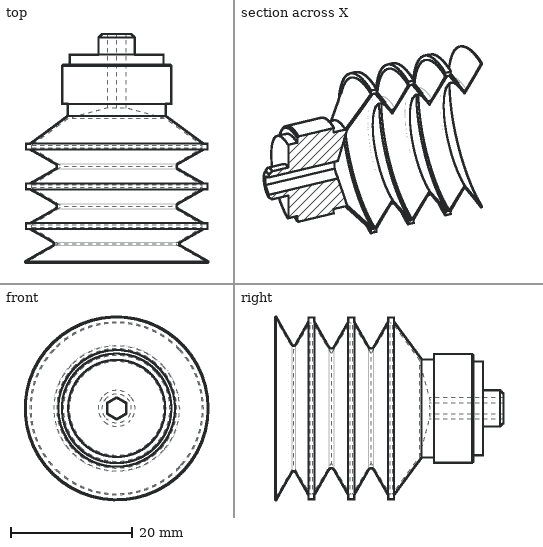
import cadquery as cq
import math


LIP_INNER_RADIUS = 15.0
LIP_EDGE_STEP = 0.145
LIP_EDGE_DEPTH = 0.2

FOLD_COUNT = 3
FOLD_PITCH = 6.56
FIRST_FOLD_Y = 6.03
RIM_RADIUS = 15.0
RIM_WIDTH = 1.0
FLANK_TOP_RADIUS = 14.28
FLANK_SLOPE = math.tan(math.radians(29.6))
LIP_VALLEY_FILLET = 0.3
VALLEY_FILLET = 0.48

LIP_THROAT_RADIUS = 9.62
THROAT_RADIUS = 9.03
INNER_CREST_RADIUS = 14.1
INNER_CREST_WIDTH = 0.4
FLOOR_RADIUS = 8.0
FLOOR_RIM_Y = 23.8
FLOOR_ANGLE = 15.0

NECK_RADIUS = 8.1
NECK_START_Y = 24.2
COLLAR_RADIUS = 9.0
COLLAR_START_Y = 26.2
COLLAR_END_Y = 32.7
COLLAR_CHAMFER = 0.25
STEP_RADIUS = 7.75
STEP_END_Y = 34.3
PIN_RADIUS = 3.0
PIN_CHAMFER = 0.6
TOTAL_LENGTH = 37.7

HEX_SIDES = 6
HEX_ACROSS_FLATS = 3.08

LIP_OUTER_RADIUS = LIP_INNER_RADIUS + LIP_EDGE_STEP
fold_centres = [FIRST_FOLD_Y + i * FOLD_PITCH for i in range(FOLD_COUNT)]


def lip_valley_apex():
    """Point where the flank behind the lip meets the flank of the first fold."""
    flank_end_y = FIRST_FOLD_Y - RIM_WIDTH / 2
    radial_difference = LIP_OUTER_RADIUS - FLANK_TOP_RADIUS
    y = (LIP_EDGE_DEPTH + flank_end_y + FLANK_SLOPE * radial_difference) / 2
    return LIP_OUTER_RADIUS - (y - LIP_EDGE_DEPTH) / FLANK_SLOPE, y


def fold_valley_apex(fold_y):
    """Point where the flanks meet midway between a fold and the next one."""
    half_gap = (FOLD_PITCH - RIM_WIDTH) / 2
    return FLANK_TOP_RADIUS - half_gap / FLANK_SLOPE, fold_y + FOLD_PITCH / 2


def add_valley(profile, apex, fillet):
    """Draw the flank into a valley and the arc that rounds its bottom."""
    radius, y = apex
    half_angle = math.atan(FLANK_SLOPE)
    centre_radius = radius + fillet / math.sin(half_angle)
    tangent_radius = centre_radius - fillet * math.sin(half_angle)
    half_span = fillet * math.cos(half_angle)
    return profile.lineTo(tangent_radius, y - half_span).threePointArc(
        (centre_radius - fillet, y), (tangent_radius, y + half_span)
    )


def add_rim(profile, fold_y):
    """Draw the square rim around the crest of one fold."""
    start_y = fold_y - RIM_WIDTH / 2
    end_y = fold_y + RIM_WIDTH / 2
    return (
        profile.lineTo(FLANK_TOP_RADIUS, start_y)
        .lineTo(RIM_RADIUS, start_y)
        .lineTo(RIM_RADIUS, end_y)
        .lineTo(FLANK_TOP_RADIUS, end_y)
    )


def revolve_about_y(profile):
    return profile.close().revolve(360, (0, 0, 0), (0, 1, 0))


def outer_body():
    """Solid enclosed by the outer surface of lip, bellows and fitting."""
    profile = (
        cq.Workplane("XY")
        .lineTo(LIP_INNER_RADIUS, 0)
        .lineTo(LIP_OUTER_RADIUS, LIP_EDGE_DEPTH)
    )
    profile = add_valley(profile, lip_valley_apex(), LIP_VALLEY_FILLET)
    for fold_y in fold_centres[:-1]:
        profile = add_rim(profile, fold_y)
        profile = add_valley(profile, fold_valley_apex(fold_y), VALLEY_FILLET)
    profile = add_rim(profile, fold_centres[-1])
    profile = (
        profile.lineTo(NECK_RADIUS, NECK_START_Y)
        .lineTo(NECK_RADIUS, COLLAR_START_Y)
        .lineTo(COLLAR_RADIUS, COLLAR_START_Y)
        .lineTo(COLLAR_RADIUS, COLLAR_END_Y - COLLAR_CHAMFER)
        .lineTo(COLLAR_RADIUS - COLLAR_CHAMFER, COLLAR_END_Y)
        .lineTo(STEP_RADIUS, COLLAR_END_Y)
        .lineTo(STEP_RADIUS, STEP_END_Y)
        .lineTo(PIN_RADIUS, STEP_END_Y)
        .lineTo(PIN_RADIUS, TOTAL_LENGTH - PIN_CHAMFER)
        .lineTo(PIN_RADIUS - PIN_CHAMFER, TOTAL_LENGTH)
        .lineTo(0, TOTAL_LENGTH)
    )
    return revolve_about_y(profile)


def cavity():
    """Hollow of the cup: lip cone, inner folds and the shallow conical floor."""
    lip_valley_y = lip_valley_apex()[1]
    profile = (
        cq.Workplane("XY")
        .lineTo(LIP_INNER_RADIUS, 0)
        .lineTo(LIP_THROAT_RADIUS, lip_valley_y)
    )
    for fold_y in fold_centres:
        profile = profile.lineTo(INNER_CREST_RADIUS, fold_y - INNER_CREST_WIDTH / 2)
        profile = profile.lineTo(INNER_CREST_RADIUS, fold_y + INNER_CREST_WIDTH / 2)
        if fold_y != fold_centres[-1]:
            profile = profile.lineTo(THROAT_RADIUS, fold_y + FOLD_PITCH / 2)
    floor_depth = FLOOR_RADIUS * math.tan(math.radians(FLOOR_ANGLE))
    profile = profile.lineTo(FLOOR_RADIUS, FLOOR_RIM_Y).lineTo(0, FLOOR_RIM_Y + floor_depth)
    return revolve_about_y(profile)


def hexagonal_bore():
    """Hexagonal prism along Y with two flats facing +X and -X."""
    across_corners = HEX_ACROSS_FLATS / math.cos(math.pi / HEX_SIDES)
    return (
        cq.Workplane("XZ")
        .transformed(rotate=(0, 0, 360 / HEX_SIDES / 2))
        .polygon(HEX_SIDES, across_corners)
        .extrude(-TOTAL_LENGTH)
    )


result = outer_body().cut(cavity()).cut(hexagonal_bore())